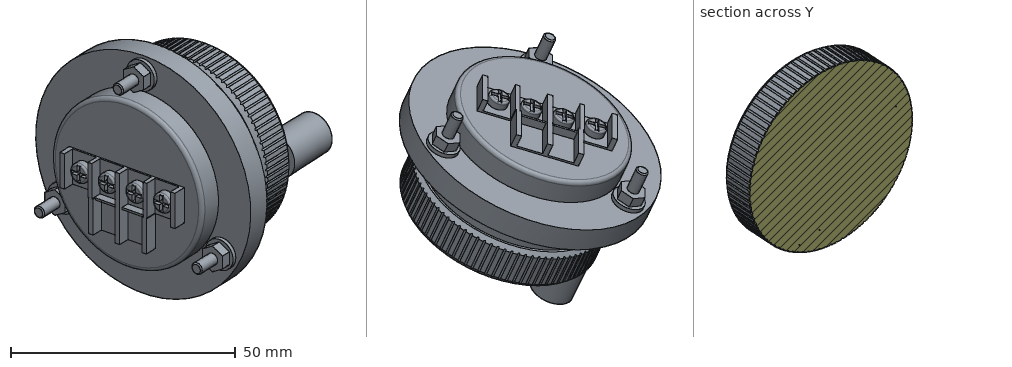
import cadquery as cq
import math


FLANGE_RADIUS = 30.0
FLANGE_THICKNESS = 6.0
NECK_RADIUS = 22.0
CONE_END_Y = 11.0

WHEEL_RADIUS = 23.65
WHEEL_START_Y = 13.45
WHEEL_END_Y = 24.0
WHEEL_REAR_BEVEL_LENGTH = 1.2
WHEEL_REAR_RADIUS = 22.6
WHEEL_BEVEL_START_Y = 22.4
WHEEL_BEVEL_BREAK_RADIUS = 22.9
WHEEL_BEVEL_BREAK_Y = 23.4
WHEEL_FACE_RADIUS = 22.15
KNURL_COUNT = 90
KNURL_RADIUS = 0.25
KNURL_START_ANGLE = 90

HANDLE_OFFSET = 18.4
HANDLE_START_Y = 24.5
HANDLE_END_Y = 38.5
HANDLE_BASE_RADIUS = 5.3
HANDLE_TIP_RADIUS = 5.1
STEM_RADIUS = 3.5

CAP_RADIUS = 21.0
CAP_DEPTH = 6.0
CAP_FILLET = 1.0

REAR_REACH = 9.5
BLOCK_BASE = 0.5
UPPER_HALF_WIDTH = 16.0
UPPER_HALF_HEIGHT = 4.45
LOWER_HALF_WIDTH = 8.05
LOWER_END_Z = -13.45
WALL_THICKNESS = 1.25
INNER_WALL_THICKNESS = 1.1
INNER_WALL_CENTRE = 7.7
LEDGE_HEIGHT = 0.55

SCREW_PITCH = 7.7
SCREW_COUNT = 4
SCREW_RADIUS = 2.45
SCREW_FILLET = 0.55
SCREW_REACH = 8.6
SLOT_WIDTH = 0.9
SLOT_LENGTH = 4.1
SLOT_DEPTH = 1.0

STUD_CIRCLE_RADIUS = 25.4
STUD_ANGLES = (90, 210, 330)
STUD_RADIUS = 1.45
STUD_CHAMFER = 0.3
WASHER_RADIUS = 3.85
WASHER_THICKNESS = 1.0
NUT_ACROSS_FLATS = 5.65
NUT_THICKNESS = 2.5


def cylinder(radius, start_y, end_y, x=0, z=0):
    """Cylinder along Y, from start_y to end_y."""
    return cq.Workplane("XZ", origin=(x, end_y, z)).circle(radius).extrude(end_y - start_y)


def block(x_range, y_range, z_range):
    """Box given by its limits along X, Y and Z."""
    (x0, x1), (y0, y1), (z0, z1) = x_range, y_range, z_range
    return cq.Workplane("XY").box(x1 - x0, y1 - y0, z1 - z0, centered=False).translate((x0, y0, z0))


def make_body():
    """Flange, cone, neck, wheel and rear cap, turned about Y."""
    profile = (
        cq.Workplane("YZ")
        .moveTo(-CAP_DEPTH, 0)
        .lineTo(-CAP_DEPTH, CAP_RADIUS)
        .lineTo(0, CAP_RADIUS)
        .lineTo(0, FLANGE_RADIUS)
        .lineTo(FLANGE_THICKNESS, FLANGE_RADIUS)
        .lineTo(CONE_END_Y, NECK_RADIUS)
        .lineTo(WHEEL_START_Y, NECK_RADIUS)
        .lineTo(WHEEL_START_Y, WHEEL_REAR_RADIUS)
        .lineTo(WHEEL_START_Y + WHEEL_REAR_BEVEL_LENGTH, WHEEL_RADIUS)
        .lineTo(WHEEL_BEVEL_START_Y, WHEEL_RADIUS)
        .lineTo(WHEEL_BEVEL_BREAK_Y, WHEEL_BEVEL_BREAK_RADIUS)
        .lineTo(WHEEL_END_Y, WHEEL_FACE_RADIUS)
        .lineTo(WHEEL_END_Y, 0)
        .close()
    )
    body = profile.revolve(360, (0, 0, 0), (1, 0, 0))
    return body.faces("<Y").edges().fillet(CAP_FILLET)


def make_knurl():
    """Round grooves along Y, spread evenly around the wheel rim."""
    return (
        cq.Workplane("XZ", origin=(0, WHEEL_END_Y, 0))
        .polarArray(WHEEL_RADIUS, KNURL_START_ANGLE, 360, KNURL_COUNT)
        .circle(KNURL_RADIUS)
        .extrude(WHEEL_END_Y - WHEEL_START_Y)
    )


def make_handle():
    """Tapered grip on a short stem."""
    stem = cylinder(STEM_RADIUS, WHEEL_END_Y, HANDLE_START_Y, x=HANDLE_OFFSET)
    grip = (
        cq.Workplane("XZ", origin=(HANDLE_OFFSET, HANDLE_END_Y, 0))
        .circle(HANDLE_TIP_RADIUS)
        .workplane(offset=HANDLE_END_Y - HANDLE_START_Y)
        .circle(HANDLE_BASE_RADIUS)
        .loft(ruled=True)
    )
    return stem.union(grip)


def make_terminal_block():
    """Base plate with dividing walls, and a ledge above each lower bay."""
    upper_z = (-UPPER_HALF_HEIGHT, UPPER_HALF_HEIGHT)
    lower_z = (LOWER_END_Z, -UPPER_HALF_HEIGHT)
    base_y = (-CAP_DEPTH - BLOCK_BASE, -CAP_DEPTH)
    wall_y = (-REAR_REACH, -CAP_DEPTH)
    ledge_y = (-SCREW_REACH, -CAP_DEPTH)
    ledge_z = (-UPPER_HALF_HEIGHT - LEDGE_HEIGHT, -UPPER_HALF_HEIGHT)
    half_wall = WALL_THICKNESS / 2
    half_inner = INNER_WALL_THICKNESS / 2

    terminal = block((-UPPER_HALF_WIDTH, UPPER_HALF_WIDTH), base_y, upper_z)
    terminal = terminal.union(block((-LOWER_HALF_WIDTH, LOWER_HALF_WIDTH), base_y, lower_z))
    terminal = terminal.union(block((-LOWER_HALF_WIDTH, LOWER_HALF_WIDTH), ledge_y, ledge_z))
    terminal = terminal.union(block((-half_wall, half_wall), wall_y, (LOWER_END_Z, UPPER_HALF_HEIGHT)))

    outer_x = UPPER_HALF_WIDTH - half_wall
    lower_x = LOWER_HALF_WIDTH - half_wall
    for side in (-1, 1):
        for centre, half, z_range in (
            (outer_x, half_wall, upper_z),
            (INNER_WALL_CENTRE, half_inner, upper_z),
            (lower_x, half_wall, lower_z),
        ):
            x = side * centre
            terminal = terminal.union(block((x - half, x + half), wall_y, z_range))
    return terminal


def make_screw(x):
    """Rounded screw head with a cross slot."""
    head = cylinder(SCREW_RADIUS, -SCREW_REACH, -CAP_DEPTH, x=x)
    head = head.faces("<Y").edges().fillet(SCREW_FILLET)
    slots = (
        cq.Workplane("XZ", origin=(x, SLOT_DEPTH - SCREW_REACH, 0))
        .rect(SLOT_LENGTH, SLOT_WIDTH)
        .extrude(SLOT_DEPTH)
    )
    slots = slots.union(slots.rotate((x, 0, 0), (x, 1, 0), 90))
    return head.cut(slots)


def make_stud(angle):
    """Stud with washer and hexagon nut; the nut has corners at +Z and -Z."""
    x = STUD_CIRCLE_RADIUS * math.cos(math.radians(angle))
    z = STUD_CIRCLE_RADIUS * math.sin(math.radians(angle))
    stud = cylinder(STUD_RADIUS, -REAR_REACH, 0, x, z)
    stud = stud.faces("<Y").edges().chamfer(STUD_CHAMFER)
    washer = cylinder(WASHER_RADIUS, -WASHER_THICKNESS, 0, x, z)
    nut = (
        cq.Workplane("XZ", origin=(0, -WASHER_THICKNESS, 0))
        .polygon(6, NUT_ACROSS_FLATS, circumscribed=True)
        .extrude(NUT_THICKNESS)
        .translate((x, 0, z))
    )
    return stud.union(washer).union(nut)


result = make_body().cut(make_knurl())
result = result.union(make_handle()).union(make_terminal_block())
for index in range(SCREW_COUNT):
    result = result.union(make_screw((index - (SCREW_COUNT - 1) / 2) * SCREW_PITCH))
for stud_angle in STUD_ANGLES:
    result = result.union(make_stud(stud_angle))